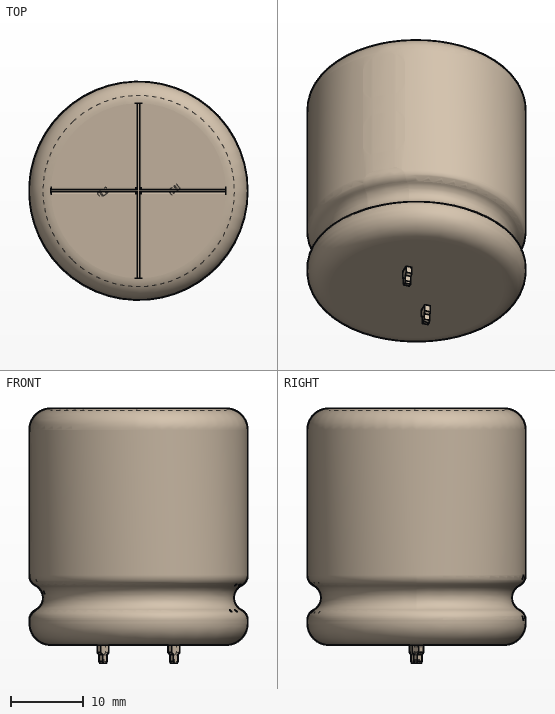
import cadquery as cq
import math

can_diameter = 30.0
can_height = 32.5
rim_radius = 3.0
can_radius = can_diameter / 2

groove_height = 6.5
groove_radius = can_diameter / 16
groove_fillet = 3.15 / 2

lid_diameter = can_diameter - 2 * rim_radius
vent_floor_width = 0.3
vent_edge_radius = 0.3
vent_depth = vent_edge_radius

mark_count = 3
mark_width = 6.0
mark_height = 6.5
mark_corner_radius = 1.5
mark_pitch = 9.4
first_mark_bottom = 3.6
mark_depth = 3.0
mark_clearance = 1.0

pin_x = -4.86
pin_y = -0.2
pin_angle = 38.0
pin_length = 2.5
pin_thickness = 0.8
root_width = 1.45
tip_width = 0.8
tip_end_width = 0.5
shoulder_top = 1.0
shoulder_bottom = 1.3
tip_taper_length = 0.3


def make_can():
    fillet_center_radius = can_radius - groove_fillet
    center_distance = groove_radius + groove_fillet
    groove_half_span = math.sqrt(center_distance**2 - groove_fillet**2)

    share = groove_radius / center_distance
    joint_radius = can_radius - share * groove_fillet
    joint_offset = share * groove_half_span

    half_turn = math.atan2(groove_half_span, groove_fillet) / 2
    fillet_mid_radius = fillet_center_radius + groove_fillet * math.cos(half_turn)
    fillet_mid_offset = groove_half_span - groove_fillet * math.sin(half_turn)

    rim_mid = rim_radius * (1 - math.sqrt(0.5))
    flat_radius = can_radius - rim_radius
    profile = (
        cq.Workplane("XZ")
        .lineTo(flat_radius, 0)
        .threePointArc((can_radius - rim_mid, rim_mid), (can_radius, rim_radius))
        .lineTo(can_radius, groove_height - groove_half_span)
        .threePointArc(
            (fillet_mid_radius, groove_height - fillet_mid_offset),
            (joint_radius, groove_height - joint_offset),
        )
        .threePointArc(
            (can_radius - groove_radius, groove_height),
            (joint_radius, groove_height + joint_offset),
        )
        .threePointArc(
            (fillet_mid_radius, groove_height + fillet_mid_offset),
            (can_radius, groove_height + groove_half_span),
        )
        .lineTo(can_radius, can_height - rim_radius)
        .threePointArc((can_radius - rim_mid, can_height - rim_mid), (flat_radius, can_height))
        .lineTo(0, can_height)
        .close()
    )
    return profile.revolve(360, (0, 0), (0, 1))


def make_vent_cross():
    half_floor = vent_floor_width / 2
    half_top = half_floor + vent_edge_radius
    floor_height = can_height - vent_depth
    channel = (
        cq.Workplane("XZ")
        .moveTo(-half_top, can_height)
        .lineTo(half_top, can_height)
        .radiusArc((half_floor, floor_height), -vent_edge_radius)
        .lineTo(-half_floor, floor_height)
        .radiusArc((-half_top, can_height), -vent_edge_radius)
        .close()
        .extrude(can_radius, both=True)
    )
    cross = channel.union(channel.rotate((0, 0, 0), (0, 0, 1), 90))
    lid = cq.Workplane("XY").workplane(offset=can_height).circle(lid_diameter / 2).extrude(-vent_depth)
    return cross.intersect(lid)


def make_mark(can, bottom):
    block = (
        cq.Workplane("YZ", origin=(-can_radius - mark_clearance, 0, bottom + mark_height / 2))
        .rect(mark_width, mark_height)
        .extrude(mark_clearance + mark_depth)
        .edges("|X")
        .fillet(mark_corner_radius)
    )
    return can.intersect(block)


def make_pin():
    half_outline = [
        (root_width / 2, 0),
        (root_width / 2, -shoulder_top),
        (tip_width / 2, -shoulder_bottom),
        (tip_width / 2, tip_taper_length - pin_length),
        (tip_end_width / 2, -pin_length),
    ]
    other_half = [(-x, z) for x, z in reversed(half_outline)]
    blade = (
        cq.Workplane("XZ")
        .polyline(half_outline + other_half)
        .close()
        .extrude(pin_thickness / 2, both=True)
    )
    return blade.rotate((0, 0, 0), (0, 0, 1), pin_angle).translate((pin_x, pin_y, 0))


can = make_can()
result = can.cut(make_vent_cross())
for turn in (0, 180):
    result = result.union(make_pin().rotate((0, 0, 0), (0, 0, 1), turn))

for index in range(mark_count):
    mark = make_mark(can, first_mark_bottom + index * mark_pitch)
    result = result.union(mark, clean=False)